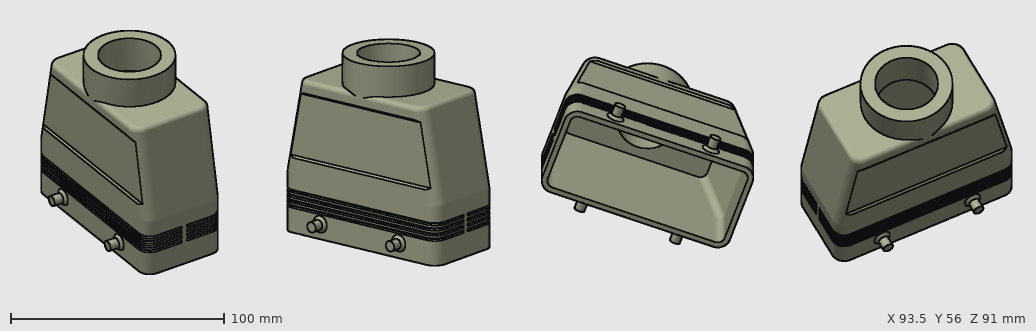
import cadquery as cq
import math

LENGTH = 93.5
DEPTH = 43.2
BODY_HEIGHT = 75.9
BEND_HEIGHT = 29.4
TOP_HALF_LENGTH = 37.6
BEND_RADIUS = 5.1
CORNER_RADIUS = 6.2
TOP_EDGE_RADIUS = 2.3
WALL = 2.6

NECK_DIAMETER = DEPTH
TOTAL_HEIGHT = 91.0
BORE_TOP_DIAMETER = 29.5
BORE_BOTTOM_DIAMETER = 28.8

RECESS_BOTTOM = 36.7
RECESS_TOP = 69.75
RECESS_DEPTH = 1.0

GROOVE_COUNT = 4
LOWEST_GROOVE_HEIGHT = 12.8
GROOVE_PITCH = 2.5
GROOVE_DEPTH = 0.7
GROOVE_ANGLE = 45
GROOVE_GAP = 3.1

PIN_SPACING = 47.5
PIN_HEIGHT = 7.4
PIN_DIAMETER = 5.05
PIN_TIP_SPAN = 56.0
FOOT_DIAMETER = 8.2
FOOT_HEIGHT = 1.5

HALF_LENGTH = LENGTH / 2
HALF_DEPTH = DEPTH / 2
CAVITY_TOP = BODY_HEIGHT - WALL
OVERLAP = 0.9


def hood_profile_prism(bottom_half, bend_height, top_half, top_height, depth):
    """Straight-sided base topped by a trapezium, extruded symmetrically along Y."""
    return (
        cq.Workplane("XZ")
        .moveTo(-bottom_half, 0)
        .lineTo(bottom_half, 0)
        .lineTo(bottom_half, bend_height)
        .lineTo(top_half, top_height)
        .lineTo(-top_half, top_height)
        .lineTo(-bottom_half, bend_height)
        .close()
        .extrude(depth / 2, both=True)
    )


def outer_body():
    body = hood_profile_prism(HALF_LENGTH, BEND_HEIGHT, TOP_HALF_LENGTH, BODY_HEIGHT, DEPTH)
    bend_box = cq.selectors.BoxSelector(
        (-LENGTH, -DEPTH, BEND_HEIGHT - OVERLAP), (LENGTH, DEPTH, BEND_HEIGHT + OVERLAP)
    )
    body = body.edges("|Y").edges(bend_box).fillet(BEND_RADIUS)
    body = body.faces("<X or >X").edges("|Z").fillet(CORNER_RADIUS)
    return body.faces(">Z").edges().fillet(TOP_EDGE_RADIUS)


def cavity():
    """Open-bottomed space that leaves a near-even wall inside the outer body."""
    lean = math.atan2(HALF_LENGTH - TOP_HALF_LENGTH, BODY_HEIGHT - BEND_HEIGHT)
    bottom_half = HALF_LENGTH - WALL
    bend_height = BEND_HEIGHT - WALL * math.tan(lean / 2)
    top_half = bottom_half - (CAVITY_TOP - bend_height) * math.tan(lean)
    space = hood_profile_prism(bottom_half, bend_height, top_half, CAVITY_TOP, DEPTH - 2 * WALL)
    return space.edges("not(|Y or |X)").fillet(CORNER_RADIUS - WALL)


def neck():
    return (
        cq.Workplane("XY")
        .workplane(offset=CAVITY_TOP)
        .circle(NECK_DIAMETER / 2)
        .extrude(TOTAL_HEIGHT - CAVITY_TOP)
    )


def bore():
    return (
        cq.Workplane("XY")
        .workplane(offset=CAVITY_TOP)
        .circle(BORE_BOTTOM_DIAMETER / 2)
        .workplane(offset=TOTAL_HEIGHT - CAVITY_TOP)
        .circle(BORE_TOP_DIAMETER / 2)
        .loft()
    )


def panel_recess(side):
    """Cutter for the panel on the long face at y = side * HALF_DEPTH."""
    face = side * HALF_DEPTH
    floor = side * (HALF_DEPTH - RECESS_DEPTH)
    outside = side * (HALF_DEPTH + RECESS_DEPTH)
    return (
        cq.Workplane("YZ")
        .moveTo(floor, RECESS_BOTTOM + RECESS_DEPTH)
        .lineTo(face, RECESS_BOTTOM)
        .lineTo(outside, RECESS_BOTTOM)
        .lineTo(outside, RECESS_TOP)
        .lineTo(face, RECESS_TOP)
        .lineTo(floor, RECESS_TOP - RECESS_DEPTH)
        .close()
        .extrude(HALF_LENGTH, both=True)
    )


def rounded_outline(height):
    outline = cq.Sketch().rect(LENGTH, DEPTH).vertices().fillet(CORNER_RADIUS)
    return cq.Workplane("XY").workplane(offset=height).placeSketch(outline)


def groove_cutter(height):
    """V-section ring around the lower body, split by the gap on each end face."""
    bottom = height - GROOVE_DEPTH
    blank = (
        cq.Workplane("XY")
        .workplane(offset=bottom)
        .rect(LENGTH + 2 * OVERLAP, DEPTH + 2 * OVERLAP)
        .extrude(2 * GROOVE_DEPTH)
    )
    lower_core = rounded_outline(bottom).extrude(GROOVE_DEPTH, taper=GROOVE_ANGLE)
    upper_core = rounded_outline(height + GROOVE_DEPTH).extrude(-GROOVE_DEPTH, taper=GROOVE_ANGLE)
    gap = cq.Workplane("XY").box(2 * LENGTH, GROOVE_GAP, 2 * BODY_HEIGHT)
    return blank.cut(lower_core).cut(upper_core).cut(gap)


def locking_pin(x, side):
    """Pin and foot revolved about the Y-directed pin axis; side is the sign of Y."""
    root = HALF_DEPTH - WALL / 2
    foot_radius = FOOT_DIAMETER / 2
    pin_radius = PIN_DIAMETER / 2
    pin = (
        cq.Workplane("XY")
        .moveTo(0, side * root)
        .lineTo(foot_radius, side * root)
        .lineTo(foot_radius, side * HALF_DEPTH)
        .lineTo(pin_radius, side * (HALF_DEPTH + FOOT_HEIGHT))
        .lineTo(pin_radius, side * PIN_TIP_SPAN / 2)
        .lineTo(0, side * PIN_TIP_SPAN / 2)
        .close()
        .revolve(360, (0, 0, 0), (0, 1, 0))
    )
    return pin.translate((x, 0, PIN_HEIGHT))


hood = outer_body()
for side in (-1, 1):
    hood = hood.cut(panel_recess(side))
for index in range(GROOVE_COUNT):
    hood = hood.cut(groove_cutter(LOWEST_GROOVE_HEIGHT + index * GROOVE_PITCH))

hood = hood.union(neck()).cut(cavity()).cut(bore())

for x in (-PIN_SPACING / 2, PIN_SPACING / 2):
    for side in (-1, 1):
        hood = hood.union(locking_pin(x, side))

result = hood